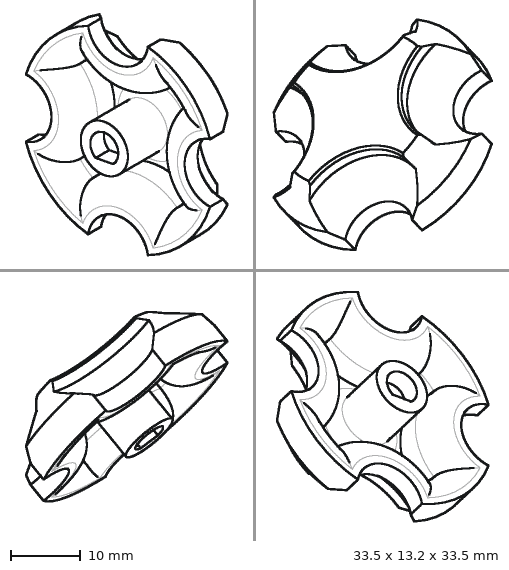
import cadquery as cq
import math

side_length = 33.48
total_depth = 13.2
notch_count = 4
notch_radius = 5.5
half_side = side_length / 2
outer_radius = (half_side + math.sqrt(half_side**2 + 2 * notch_radius**2)) / 2
body_depth = 10.0
rim_depth = 5.02
back_radius = outer_radius - (body_depth - rim_depth)

notch_straight_depth = 3.05
flare_depth = 4.9
flare_end = notch_straight_depth + flare_depth
notch_back_radius = notch_radius + flare_depth
notch_chamfer = 0.4

rim_round = 4.0
cavity_depth = 8.0
cavity_radius = 12.6
cavity_notch_radius = 10.78

hub_radius = 4.3
hub_overhang = total_depth - body_depth
hub_fillet = 1.98
bore_radius = 2.55
bore_depth = 3.15
bore_flat_offset = 2.0


def revolve_about_y(profile):
    return profile.close().revolve(360, (0, 0, 0), (0, 1, 0))


def cylinder_along_y(radius, start, end):
    return cq.Workplane("XZ", origin=(0, start, 0)).circle(radius).extrude(start - end)


def at_notches(shape):
    """Copies of a shape made about the Y axis, moved to the notch centres."""
    moved = shape.translate((outer_radius, 0, 0))
    return [moved.rotate((0, 0, 0), (0, 1, 0), 360 * i / notch_count) for i in range(notch_count)]


def make_body():
    return revolve_about_y(
        cq.Workplane("XY")
        .lineTo(outer_radius, 0)
        .lineTo(outer_radius, rim_depth)
        .lineTo(back_radius, body_depth)
        .lineTo(0, body_depth)
    )


def make_notch():
    return revolve_about_y(
        cq.Workplane("XY")
        .lineTo(notch_radius, 0)
        .lineTo(notch_radius, notch_straight_depth)
        .lineTo(notch_back_radius, flare_end)
        .lineTo(notch_back_radius, body_depth - notch_chamfer)
        .lineTo(notch_back_radius + notch_chamfer, body_depth)
        .lineTo(0, body_depth)
    )


def make_notch_wall():
    """Solid kept around a notch: its front edge is rounded over into the cavity."""
    middle = rim_round * math.sqrt(0.5)
    edge_centre = cavity_notch_radius - rim_round
    return revolve_about_y(
        cq.Workplane("XY")
        .lineTo(edge_centre, 0)
        .threePointArc(
            (edge_centre + middle, rim_round - middle),
            (cavity_notch_radius, rim_round),
        )
        .lineTo(cavity_notch_radius, cavity_depth)
        .lineTo(0, cavity_depth)
    )


def make_cavity():
    middle = rim_round * math.sqrt(0.5)
    edge_centre = cavity_radius + rim_round
    cavity = revolve_about_y(
        cq.Workplane("XY")
        .lineTo(edge_centre, 0)
        .threePointArc(
            (edge_centre - middle, rim_round - middle),
            (cavity_radius, rim_round),
        )
        .lineTo(cavity_radius, cavity_depth)
        .lineTo(0, cavity_depth)
    )
    for wall in at_notches(make_notch_wall()):
        cavity = cavity.cut(wall)
    return cavity


def make_hub():
    """Hub with a concave fillet where it meets the cavity floor."""
    middle = hub_fillet * (1 - math.sqrt(0.5))
    return revolve_about_y(
        cq.Workplane("XY")
        .moveTo(0, -hub_overhang)
        .lineTo(hub_radius, -hub_overhang)
        .lineTo(hub_radius, cavity_depth - hub_fillet)
        .threePointArc(
            (hub_radius + middle, cavity_depth - middle),
            (hub_radius + hub_fillet, cavity_depth),
        )
        .lineTo(0, cavity_depth)
    )


def make_bore():
    bore = cylinder_along_y(bore_radius, -hub_overhang, bore_depth - hub_overhang)
    above_flat = cq.Workplane("XY").box(
        2 * bore_radius, 2 * side_length, 2 * bore_radius
    ).translate((0, 0, bore_radius - bore_flat_offset))
    return bore.intersect(above_flat)


result = make_body()
for notch in at_notches(make_notch()):
    result = result.cut(notch)
result = result.cut(make_cavity())
result = result.union(make_hub()).cut(make_bore())